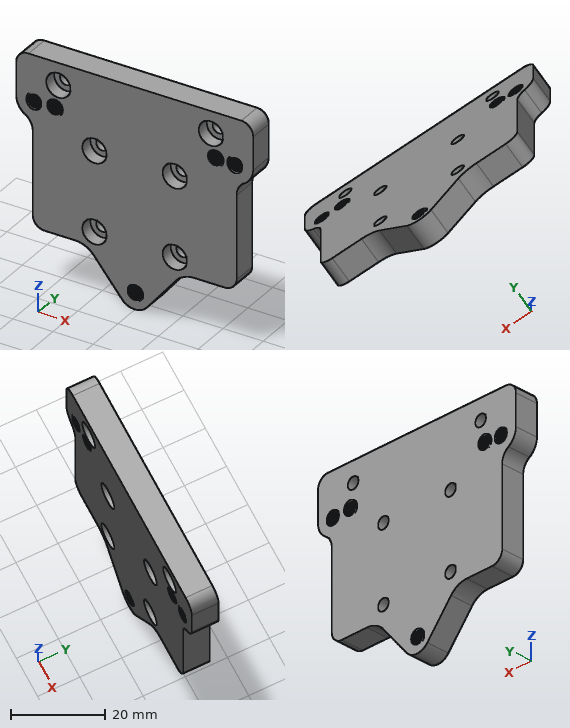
import cadquery as cq
import math

thickness = 6.4
height = 54.85
head_width = 59.0
body_width = 50.8
head_half_width = head_width / 2
body_half_width = body_width / 2
shoulder_z = 12.4

corner_radius = 3.0
head_lower_radius = 4.7
neck_radius = 4.0
tip_radius = 4.0
flare_radius = 6.0

head_side_bottom = height - 11.25
flank_half_width = 12.0

mount_diameter = 3.2
counterbore_diameter = 6.0
counterbore_depth = 3.25
mount_spacing = 20.0
mount_low_z = 16.0
head_mount_x = 19.0
head_mount_z = 49.3

minor_diameter = 3.3
major_diameter = 4.15
pitch = 0.7
thread_half_angle = 30
groove_overlap = 0.1
thread_row_z = 43.5
inner_thread_x = 20.0
outer_thread_x = 25.0


def plate():
    """Right half of the outline, extruded and mirrored."""
    head_x = head_half_width - head_lower_radius
    neck_x = body_half_width + neck_radius
    arc_ratio = head_lower_radius / (head_lower_radius + neck_radius)
    centre_rise = math.sqrt((head_lower_radius + neck_radius) ** 2 - (neck_x - head_x) ** 2)
    arc_join = (head_x + (neck_x - head_x) * arc_ratio, head_side_bottom - centre_rise * arc_ratio)

    drop = shoulder_z - tip_radius
    reach = math.hypot(flank_half_width, drop)
    flank_angle = math.atan2(drop, flank_half_width) + math.asin(tip_radius / reach)
    cos_flank = math.cos(flank_angle)
    sin_flank = math.sin(flank_angle)
    tip_tangent = (tip_radius * sin_flank, tip_radius * (1 - cos_flank))
    flare_length = flare_radius * math.tan(flank_angle / 2)
    flare_bottom = (flank_half_width - flare_length * cos_flank, shoulder_z - flare_length * sin_flank)
    flare_top = (flank_half_width + flare_length, shoulder_z)

    right_half = (
        cq.Workplane("XZ")
        .moveTo(0, height)
        .lineTo(head_half_width - corner_radius, height)
        .tangentArcPoint((head_half_width, height - corner_radius), relative=False)
        .lineTo(head_half_width, head_side_bottom)
        .tangentArcPoint(arc_join, relative=False)
        .tangentArcPoint((body_half_width, head_side_bottom - centre_rise), relative=False)
        .lineTo(body_half_width, shoulder_z + corner_radius)
        .tangentArcPoint((body_half_width - corner_radius, shoulder_z), relative=False)
        .lineTo(*flare_top)
        .tangentArcPoint(flare_bottom, relative=False)
        .lineTo(*tip_tangent)
        .tangentArcPoint((0, 0), relative=False)
        .close()
        .extrude(-thickness)
    )
    return right_half.union(right_half.mirror("YZ")).clean()


def hole_cutter(diameter, depth):
    """Cylinder from the front face into the plate."""
    return cq.Workplane("XZ").circle(diameter / 2).extrude(-depth)


def mount_cutter():
    """Through hole with its counterbore on the front face."""
    counterbore = hole_cutter(counterbore_diameter, counterbore_depth)
    return hole_cutter(mount_diameter, thickness).union(counterbore)


def threaded_hole_cutter(start_angle):
    """Tapped hole along +Y whose groove crosses the front face at start_angle, measured from +X."""
    inner_radius = minor_diameter / 2 - groove_overlap
    outer_radius = major_diameter / 2
    half_width = (outer_radius - inner_radius) * math.tan(math.radians(thread_half_angle))
    length = thickness + 2 * pitch
    path = cq.Wire.makeHelix(pitch, length, inner_radius)
    core = cq.Workplane().circle(minor_diameter / 2).extrude(length)
    groove = (
        cq.Workplane("XZ")
        .polyline([(inner_radius, -half_width), (outer_radius, 0), (inner_radius, half_width)])
        .close()
        .sweep(cq.Workplane(path), isFrenet=True)
    )
    return (
        core.union(groove)
        .translate((0, 0, -pitch))
        .rotate((0, 0, 0), (0, 0, 1), -start_angle)
        .rotate((0, 0, 0), (1, 0, 0), -90)
    )


mount_places = [
    (side * x, z)
    for side in (-1, 1)
    for x, z in (
        (head_mount_x, head_mount_z),
        (mount_spacing / 2, mount_low_z),
        (mount_spacing / 2, mount_low_z + mount_spacing),
    )
]
upward_thread_places = [(-inner_thread_x, thread_row_z), (inner_thread_x, thread_row_z), (0, tip_radius)]
downward_thread_places = [(-outer_thread_x, thread_row_z), (outer_thread_x, thread_row_z)]

result = plate()
for x, z in mount_places:
    result = result.cut(mount_cutter().translate((x, 0, z)))
for start_angle, places in ((90, upward_thread_places), (-90, downward_thread_places)):
    threaded_hole = threaded_hole_cutter(start_angle)
    for x, z in places:
        result = result.cut(threaded_hole.translate((x, 0, z)))